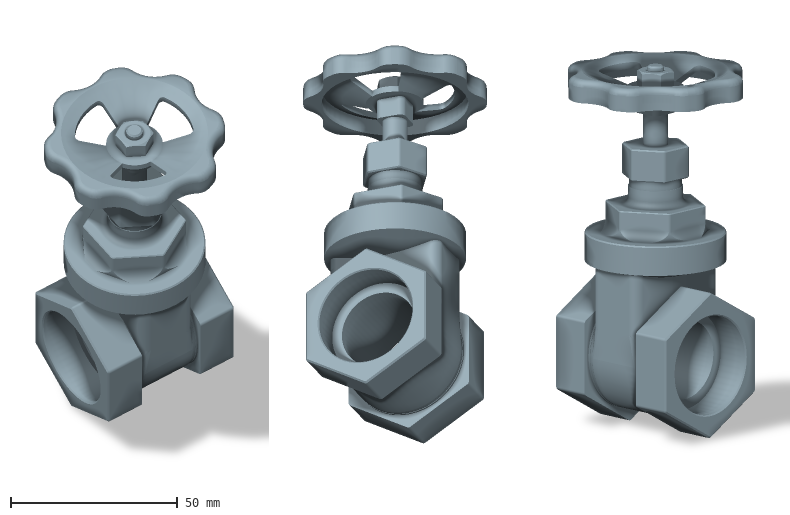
import cadquery as cq
import math


PIPE_LENGTH = 46.0
END_HEX_FLATS = 39.0
END_HEX_LENGTH = 12.35
END_HEX_CORNER_RADIUS = 1.0
END_HEX_CHAMFER = 0.5
BARREL_RADIUS = 18.0
GROOVE_RADIUS = 17.85
FLOW_BORE = 24.0
THREAD_BORE = 30.29
THREAD_DEPTH = 10.5
THREAD_CHAMFER = 0.4

HOUSING_WIDTH = 2 * BARREL_RADIUS
SIDE_THICKNESS = 18.5
RIDGE_THICKNESS = 20.0
RIDGE_WIDTH = 5.9
HOUSING_CORNER_RADIUS = 3.0
CORNER_BLEND_HEIGHT = 9.5
FOOT_THICKNESS = 18.8
FOOT_RADIUS = 0.8

FLANGE_BOTTOM = 28.85
FLANGE_TOP = 37.85
BONNET_TOP = 46.4
NECK_STEP = 51.8
GLAND_BOTTOM = 54.6
GLAND_TOP = 64.5
HUB_BOTTOM = 74.3
WHEEL_BOTTOM = 80.4
DISH_FLOOR = 82.3
WHEEL_TOP = 87.3
STEM_TOP = 88.71

FLANGE_DIAMETER = 42.5
FLANGE_CHAMFER = 0.4
FLANGE_CONE_ANGLE = 16.0
FLANGE_CONE_TIP_RADIUS = 5.0
BONNET_FLATS = 27.0
BONNET_CORNER_RADIUS = 1.0
BONNET_CHAMFER = 0.3
SKIRT_RADIUS = 3.0
NECK_LOWER_DIAMETER = 16.5
NECK_UPPER_DIAMETER = 16.0
NECK_FILLET = 2.0

GLAND_FLATS = 18.0
GLAND_CORNER_RADIUS = 1.0
GLAND_CHAMFER = 0.4
STEM_DIAMETER = 7.5
STEM_TIP_DIAMETER = 5.0
STEM_TIP_CHAMFER = 0.5

LOBES = 8
LOBE_RADIUS = 27.49
LOBE_CORNER_RADIUS = 5.0
SCALLOP_RADIUS = 10.0
SCALLOP_CENTER_RADIUS = 34.0
RIM_FILLET = 2.0
DISH_RADIUS = 22.0
FLOOR_RADIUS = 8.5
WEB_THICKNESS = 2.0
WINDOWS = 3
WINDOW_OUTER_RADIUS = 17.9
WINDOW_ANGLE = 60.0
WINDOW_CORNER_RADIUS = 1.5
HUB_SIDE = 9.2
HUB_CORNER_RADIUS = 1.8

WHEEL_NUT_FLATS = 10.0
WHEEL_NUT_HEIGHT = 5.0
WHEEL_NUT_FACE_DIAMETER = 9.6
WHEEL_NUT_CHAMFER_ANGLE = 30.0
WHEEL_NUT_COUNTERSINK = 6.0

HEX_SIDES = 6
HEX_HALF_ANGLE = math.radians(180 / HEX_SIDES)

TURNING_PLANE = cq.Plane(origin=(0, 0, 0), xDir=(0, -1, 0), normal=(-1, 0, 0))


def across_corners(flats):
    """Distance across the sharp corners of a regular hexagon."""
    return flats / math.cos(HEX_HALF_ANGLE)


def cylinder(diameter, bottom, top):
    """Upright cylinder on the stem axis."""
    return cq.Workplane("XY").workplane(offset=bottom).circle(diameter / 2).extrude(top - bottom)


def hexagon(flats, bottom, top):
    """Upright hexagonal prism with two corners on the X axis."""
    return (
        cq.Workplane("XY")
        .workplane(offset=bottom)
        .polygon(HEX_SIDES, across_corners(flats))
        .extrude(top - bottom)
    )


def revolve_about_stem(profile):
    """Solid of revolution about Z from (radius, height) points."""
    return cq.Workplane(TURNING_PLANE).polyline(profile).close().revolve(360, (0, 0), (0, 1))


def end_hexagon():
    """Wrench hexagon at the -Y end of the pipe, with two corners on the vertical."""
    hexagon_end = (
        cq.Workplane("XZ", origin=(0, -PIPE_LENGTH / 2 + END_HEX_LENGTH, 0))
        .transformed(rotate=(0, 0, 90))
        .polygon(HEX_SIDES, across_corners(END_HEX_FLATS))
        .extrude(END_HEX_LENGTH)
    )
    hexagon_end = hexagon_end.edges("|Y").fillet(END_HEX_CORNER_RADIUS)
    return hexagon_end.faces("<Y").chamfer(END_HEX_CHAMFER)


def pipe_disc(radius, length):
    """Disc round the pipe axis, centred on the origin."""
    return cq.Workplane("XZ", origin=(0, length / 2, 0)).circle(radius).extrude(length)


def barrel():
    """Round foot of the housing, parted by shallow grooves from the collars of the end hexagons."""
    length = PIPE_LENGTH - 2 * END_HEX_LENGTH
    collars = pipe_disc(BARREL_RADIUS, length).cut(pipe_disc(BARREL_RADIUS, RIDGE_THICKNESS))
    foot = pipe_disc(BARREL_RADIUS, FOOT_THICKNESS).faces("<Y or >Y").edges().fillet(FOOT_RADIUS)
    return pipe_disc(GROOVE_RADIUS, length).union(foot).union(collars)


def thread_bore():
    """Threaded socket with a lead-in chamfer at the -Y end of the pipe."""
    face = cq.Workplane("XZ", origin=(0, -PIPE_LENGTH / 2, 0))
    socket = face.circle(THREAD_BORE / 2).extrude(-THREAD_DEPTH)
    lead_in = (
        face.circle(THREAD_BORE / 2 + THREAD_CHAMFER)
        .workplane(offset=-THREAD_CHAMFER)
        .circle(THREAD_BORE / 2)
        .loft()
    )
    return socket.union(lead_in)


def flow_bore():
    face = cq.Workplane("XZ", origin=(0, PIPE_LENGTH / 2, 0))
    return face.circle(FLOW_BORE / 2).extrude(PIPE_LENGTH)


def housing_section(corner_radius, height):
    """Level section of the housing: flat narrow sides and broad sides that rise to a flat ridge."""
    side_x = HOUSING_WIDTH / 2
    side_y = SIDE_THICKNESS / 2
    ridge_x = RIDGE_WIDTH / 2
    ridge_y = RIDGE_THICKNESS / 2
    outline = [
        (-side_x, -side_y),
        (-ridge_x, -ridge_y),
        (ridge_x, -ridge_y),
        (side_x, -side_y),
        (side_x, side_y),
        (ridge_x, ridge_y),
        (-ridge_x, ridge_y),
        (-side_x, side_y),
        (-side_x, -side_y),
    ]
    section = cq.Sketch().polygon(outline).vertices("<X or >X").fillet(corner_radius)
    return section.moved(cq.Location(cq.Vector(0, 0, height)))


def gate_housing():
    """Housing whose round corners sharpen from the blend height down to the foot."""
    upper_section = housing_section(HOUSING_CORNER_RADIUS, CORNER_BLEND_HEIGHT)
    lower_section = housing_section(FOOT_RADIUS, 0)
    upper = cq.Workplane("XY").placeSketch(upper_section).extrude(FLANGE_BOTTOM - CORNER_BLEND_HEIGHT)
    lower = cq.Workplane("XY").placeSketch(lower_section, upper_section).loft()
    return upper.union(lower)


def flange():
    """Round flange with a shallow cone below it."""
    radius = FLANGE_DIAMETER / 2
    cone_drop = (radius - FLANGE_CONE_TIP_RADIUS) * math.tan(math.radians(FLANGE_CONE_ANGLE))
    return revolve_about_stem(
        [
            (0, FLANGE_BOTTOM - cone_drop),
            (FLANGE_CONE_TIP_RADIUS, FLANGE_BOTTOM - cone_drop),
            (radius, FLANGE_BOTTOM),
            (radius, FLANGE_TOP - FLANGE_CHAMFER),
            (radius - FLANGE_CHAMFER, FLANGE_TOP),
            (0, FLANGE_TOP),
        ]
    )


def bonnet_skirts():
    """Concave skirts that spread each bonnet flat onto the flange, cut square across the corners."""
    flat = BONNET_FLATS / 2
    toe = flat + SKIRT_RADIUS
    width = across_corners(BONNET_FLATS) / 2
    arc_middle = SKIRT_RADIUS * (1 - math.sqrt(0.5))
    skirt = (
        cq.Workplane("YZ", origin=(-width / 2, 0, 0))
        .moveTo(0, FLANGE_TOP)
        .lineTo(toe, FLANGE_TOP)
        .threePointArc(
            (flat + arc_middle, FLANGE_TOP + arc_middle),
            (flat, FLANGE_TOP + SKIRT_RADIUS),
        )
        .lineTo(0, FLANGE_TOP + SKIRT_RADIUS)
        .close()
        .extrude(width)
    )
    corner_reach = width - BONNET_CORNER_RADIUS * (1 / math.cos(HEX_HALF_ANGLE) - 1)
    limits = hexagon(2 * corner_reach, FLANGE_TOP, FLANGE_TOP + SKIRT_RADIUS)
    limits = limits.rotate((0, 0, 0), (0, 0, 1), 180 / HEX_SIDES)
    skirt = skirt.intersect(limits)
    skirts = skirt
    for side in range(1, HEX_SIDES):
        skirts = skirts.union(skirt.rotate((0, 0, 0), (0, 0, 1), side * 360 / HEX_SIDES))
    return skirts


def bonnet():
    bonnet_hexagon = hexagon(BONNET_FLATS, FLANGE_TOP, BONNET_TOP)
    bonnet_hexagon = bonnet_hexagon.edges("|Z").fillet(BONNET_CORNER_RADIUS)
    bonnet_hexagon = bonnet_hexagon.faces(">Z").chamfer(BONNET_CHAMFER)
    return bonnet_hexagon.union(bonnet_skirts())


def neck():
    """Stepped neck with a concave fillet at its foot."""
    lower = NECK_LOWER_DIAMETER / 2
    upper = NECK_UPPER_DIAMETER / 2
    arc_middle = NECK_FILLET * (1 - math.sqrt(0.5))
    return (
        cq.Workplane(TURNING_PLANE)
        .moveTo(0, BONNET_TOP)
        .lineTo(lower + NECK_FILLET, BONNET_TOP)
        .threePointArc(
            (lower + arc_middle, BONNET_TOP + arc_middle),
            (lower, BONNET_TOP + NECK_FILLET),
        )
        .lineTo(lower, NECK_STEP)
        .lineTo(upper, NECK_STEP)
        .lineTo(upper, GLAND_BOTTOM)
        .lineTo(0, GLAND_BOTTOM)
        .close()
        .revolve(360, (0, 0), (0, 1))
    )


def gland_nut():
    nut = hexagon(GLAND_FLATS, GLAND_BOTTOM, GLAND_TOP)
    nut = nut.edges("|Z").fillet(GLAND_CORNER_RADIUS)
    return nut.faces("<Z or >Z").chamfer(GLAND_CHAMFER)


def stem():
    """Stem with a thin tip that passes through the handwheel and its nut."""
    tip = cylinder(STEM_TIP_DIAMETER, HUB_BOTTOM, STEM_TOP).faces(">Z").chamfer(STEM_TIP_CHAMFER)
    return cylinder(STEM_DIAMETER, GLAND_TOP, HUB_BOTTOM).union(tip)


def build_valve():
    valve = barrel().union(gate_housing())
    valve = valve.union(flange()).union(bonnet()).union(neck()).union(gland_nut()).union(stem())
    valve = valve.union(end_hexagon()).union(end_hexagon().mirror("XZ"))
    return valve.cut(flow_bore()).cut(thread_bore()).cut(thread_bore().mirror("XZ"))


def wheel_rim():
    """Solid disc with a scalloped edge, rounded along its top."""
    scallops = (
        cq.Workplane("XY")
        .workplane(offset=WHEEL_BOTTOM)
        .polarArray(SCALLOP_CENTER_RADIUS, 0, 360, LOBES)
        .circle(SCALLOP_RADIUS)
        .extrude(WHEEL_TOP - WHEEL_BOTTOM)
    )
    rim = cylinder(2 * LOBE_RADIUS, WHEEL_BOTTOM, WHEEL_TOP).cut(scallops)
    rim = rim.edges("|Z").fillet(LOBE_CORNER_RADIUS)
    return rim.faces(">Z").edges().fillet(RIM_FILLET)


def wheel_dish():
    """Conical hollow in the top of the wheel, down to the flat floor round the nut."""
    return revolve_about_stem(
        [(0, DISH_FLOOR), (FLOOR_RADIUS, DISH_FLOOR), (DISH_RADIUS, WHEEL_TOP), (0, WHEEL_TOP)]
    )


def wheel_underside():
    """Hollow below the wheel that leaves a conical web of constant height."""
    slope = (WHEEL_TOP - DISH_FLOOR) / (DISH_RADIUS - FLOOR_RADIUS)
    inner_radius = FLOOR_RADIUS + (WHEEL_BOTTOM - DISH_FLOOR + WEB_THICKNESS) / slope
    return revolve_about_stem(
        [
            (inner_radius, WHEEL_BOTTOM),
            (DISH_RADIUS, WHEEL_BOTTOM),
            (DISH_RADIUS, WHEEL_TOP - WEB_THICKNESS),
        ]
    )


def wheel_window():
    """Sector opening centred on +Y between the floor and the rim."""
    half_angle = math.radians(WINDOW_ANGLE / 2)

    def on_circle(radius, angle):
        return (radius * math.sin(angle), radius * math.cos(angle))

    return (
        cq.Workplane("XY")
        .workplane(offset=WHEEL_BOTTOM)
        .moveTo(*on_circle(FLOOR_RADIUS, -half_angle))
        .lineTo(*on_circle(WINDOW_OUTER_RADIUS, -half_angle))
        .threePointArc((0, WINDOW_OUTER_RADIUS), on_circle(WINDOW_OUTER_RADIUS, half_angle))
        .lineTo(*on_circle(FLOOR_RADIUS, half_angle))
        .threePointArc((0, FLOOR_RADIUS), on_circle(FLOOR_RADIUS, -half_angle))
        .close()
        .extrude(WHEEL_TOP - WHEEL_BOTTOM)
        .edges("|Z and >>Y[-2]")
        .fillet(WINDOW_CORNER_RADIUS)
    )


def wheel_hub():
    """Square hub with round corners below the wheel."""
    hub = (
        cq.Workplane("XY")
        .workplane(offset=HUB_BOTTOM)
        .rect(HUB_SIDE, HUB_SIDE)
        .extrude(DISH_FLOOR - HUB_BOTTOM)
    )
    return hub.edges("|Z").fillet(HUB_CORNER_RADIUS)


def build_handwheel():
    wheel = wheel_rim()
    window = wheel_window()
    for spoke in range(WINDOWS):
        wheel = wheel.cut(window.rotate((0, 0, 0), (0, 0, 1), spoke * 360 / WINDOWS))
    wheel = wheel.cut(wheel_dish()).cut(wheel_underside())
    return wheel.union(wheel_hub()).cut(cylinder(STEM_TIP_DIAMETER, HUB_BOTTOM, DISH_FLOOR))


def build_wheel_nut():
    """Hexagon nut on the dish floor, with its top corners turned off and a countersunk hole."""
    top = DISH_FLOOR + WHEEL_NUT_HEIGHT
    face_radius = WHEEL_NUT_FACE_DIAMETER / 2
    corner_radius = across_corners(WHEEL_NUT_FLATS) / 2
    corner_drop = (corner_radius - face_radius) * math.tan(math.radians(WHEEL_NUT_CHAMFER_ANGLE))
    turned_blank = revolve_about_stem(
        [
            (0, DISH_FLOOR),
            (corner_radius, DISH_FLOOR),
            (corner_radius, top - corner_drop),
            (face_radius, top),
            (0, top),
        ]
    )
    nut = hexagon(WHEEL_NUT_FLATS, DISH_FLOOR, top).intersect(turned_blank)
    nut = nut.cut(cylinder(STEM_TIP_DIAMETER, DISH_FLOOR, top))
    countersink_depth = (WHEEL_NUT_COUNTERSINK - STEM_TIP_DIAMETER) / 2
    return nut.edges(cq.selectors.RadiusNthSelector(0)).edges(">Z").chamfer(countersink_depth)


valve = build_valve()
handwheel = build_handwheel()
wheel_nut = build_wheel_nut()

result = cq.Compound.makeCompound([valve.val(), handwheel.val(), wheel_nut.val()])